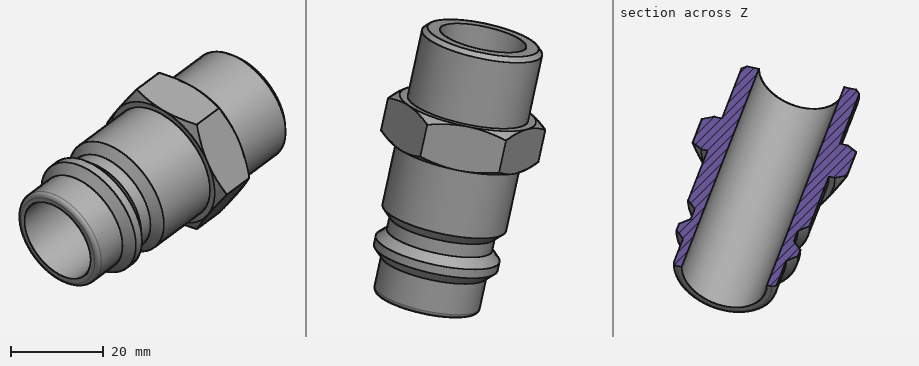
import cadquery as cq
import math

length = 60.0
front_y = -length / 2
back_y = length / 2

bore_diameter = 19.0
nose_diameter = 23.2
body_diameter = 27.3
tail_diameter = 26.5
hex_across_flats = 30.0

nose_length = 8.0
collar_land = 2.0
groove_floor = 3.0
hex_start = 34.0
hex_width = 9.95
nose_rounding = 1.0
tail_chamfer = 1.0
hex_chamfer_angle = 30.0

nose_radius = nose_diameter / 2
body_radius = body_diameter / 2
tail_radius = tail_diameter / 2
shoulder = body_radius - nose_radius

collar_front = front_y + nose_length + shoulder
collar_back = collar_front + collar_land
groove_front = collar_back + shoulder
groove_back = groove_front + groove_floor
body_front = groove_back + shoulder
hex_front = front_y + hex_start
hex_back = hex_front + hex_width


def revolve_about_y(profile):
    return profile.close().revolve(360, (0, 0, 0), (0, 1, 0))


def turned_body():
    """Nose, locking collar, groove, body and tail as one turned shape."""
    arc_offset = nose_rounding * (1 - math.sqrt(0.5))
    profile = (
        cq.Workplane("XY")
        .moveTo(0, front_y)
        .lineTo(nose_radius - nose_rounding, front_y)
        .threePointArc(
            (nose_radius - arc_offset, front_y + arc_offset),
            (nose_radius, front_y + nose_rounding),
        )
        .lineTo(nose_radius, front_y + nose_length)
        .lineTo(body_radius, collar_front)
        .lineTo(body_radius, collar_back)
        .lineTo(nose_radius, groove_front)
        .lineTo(nose_radius, groove_back)
        .lineTo(body_radius, body_front)
        .lineTo(body_radius, hex_back)
        .lineTo(tail_radius, hex_back)
        .lineTo(tail_radius, back_y - tail_chamfer)
        .lineTo(tail_radius - tail_chamfer, back_y)
        .lineTo(0, back_y)
    )
    return revolve_about_y(profile)


def hex_collar():
    """Hexagon with corners on X, its corners trimmed conically at both ends."""
    flat_radius = hex_across_flats / 2
    corner_radius = flat_radius / math.cos(math.pi / 6)
    corner_drop = (corner_radius - flat_radius) * math.tan(math.radians(hex_chamfer_angle))
    prism = (
        cq.Workplane("XZ", origin=(0, hex_back, 0))
        .polygon(6, 2 * corner_radius)
        .extrude(hex_width)
    )
    envelope = revolve_about_y(
        cq.Workplane("XY")
        .moveTo(0, hex_front)
        .lineTo(flat_radius, hex_front)
        .lineTo(corner_radius, hex_front + corner_drop)
        .lineTo(corner_radius, hex_back - corner_drop)
        .lineTo(flat_radius, hex_back)
        .lineTo(0, hex_back)
    )
    return prism.intersect(envelope)


def through_bore():
    return cq.Workplane("XZ", origin=(0, back_y, 0)).circle(bore_diameter / 2).extrude(length)


result = turned_body().union(hex_collar()).cut(through_bore())